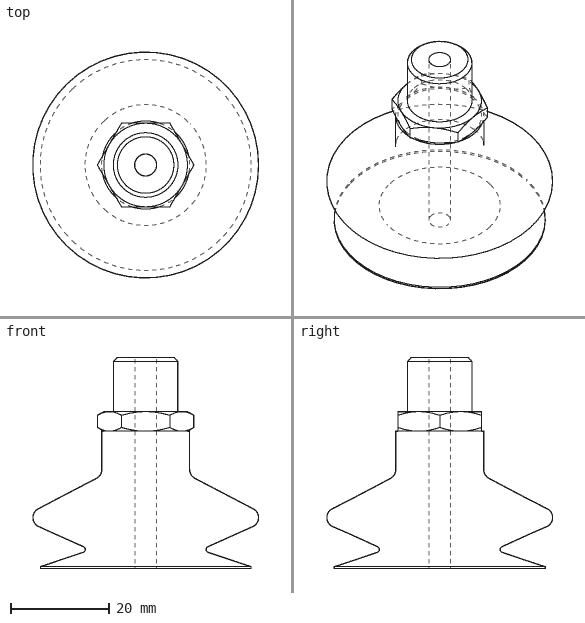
import cadquery as cq
import math

total_height = 43.0
hex_top = 31.95
hex_bottom = 27.95
neck_bottom = 20.15

stud_radius = 6.58
stud_chamfer = 0.85
bore_diameter = 4.4
hex_across_flats = 17.0
hex_corner_angle = 30

neck_radius = 8.95
flare_radius = 10.03
flare_height = 18.4
rim_outer_radius = 23.0
rim_round = 2.02
rim_height = 10.4
upper_cone_angle = 27.2
lower_cone_angle = 24.5
waist_radius = 12.33
waist_round = 0.6
waist_height = 3.9
lip_cone_angle = 18.0
lip_radius = 21.5
lip_thickness = 0.4


def polar(center, radius, degrees):
    """Point in the radius-height plane at an angle around a center."""
    angle = math.radians(degrees)
    return (center[0] + radius * math.cos(angle), center[1] + radius * math.sin(angle))


def make_bellows():
    """Revolved cup body, including the plain neck under the hexagon."""
    rim_center = (rim_outer_radius - rim_round, rim_height)
    waist_center = (waist_radius + waist_round, waist_height)
    fillet_sweep = 90 - upper_cone_angle
    fillet_radius = (flare_radius - neck_radius) / (1 - math.cos(math.radians(fillet_sweep)))
    fillet_center = (neck_radius + fillet_radius, neck_bottom)
    profile = (
        cq.Workplane("XZ")
        .moveTo(0, 0)
        .lineTo(lip_radius, 0)
        .lineTo(lip_radius, lip_thickness)
        .lineTo(*polar(waist_center, waist_round, 270 - lip_cone_angle))
        .threePointArc((waist_radius, waist_height), polar(waist_center, waist_round, 90 + lower_cone_angle))
        .lineTo(*polar(rim_center, rim_round, lower_cone_angle - 90))
        .threePointArc((rim_outer_radius, rim_height), polar(rim_center, rim_round, 90 - upper_cone_angle))
        .lineTo(flare_radius, flare_height)
        .threePointArc(
            polar(fillet_center, fillet_radius, 180 + fillet_sweep / 2),
            (neck_radius, neck_bottom),
        )
        .lineTo(neck_radius, hex_bottom)
        .lineTo(0, hex_bottom)
        .close()
    )
    return profile.revolve(360, (0, 0, 0), (0, 1, 0))


def make_hexagon():
    """Hexagon with corners on the X axis, chamfered conically at both ends."""
    height = hex_top - hex_bottom
    flat_radius = hex_across_flats / 2
    corner_radius = flat_radius / math.cos(math.pi / 6)
    drop = (corner_radius - flat_radius) * math.tan(math.radians(hex_corner_angle))
    prism = cq.Workplane("XY").workplane(offset=hex_bottom).polygon(6, 2 * corner_radius).extrude(height)
    envelope = (
        cq.Workplane("XZ")
        .moveTo(0, hex_bottom)
        .lineTo(flat_radius, hex_bottom)
        .lineTo(corner_radius, hex_bottom + drop)
        .lineTo(corner_radius, hex_top - drop)
        .lineTo(flat_radius, hex_top)
        .lineTo(0, hex_top)
        .close()
        .revolve(360, (0, 0, 0), (0, 1, 0))
    )
    return prism.intersect(envelope)


def make_stud():
    """Plain cylindrical stud with a chamfered top edge."""
    stud = cq.Workplane("XY").workplane(offset=hex_top).circle(stud_radius)
    return stud.extrude(total_height - hex_top).faces(">Z").chamfer(stud_chamfer)


bore = cq.Workplane("XY").circle(bore_diameter / 2).extrude(total_height)
result = make_bellows().union(make_hexagon()).union(make_stud()).cut(bore)